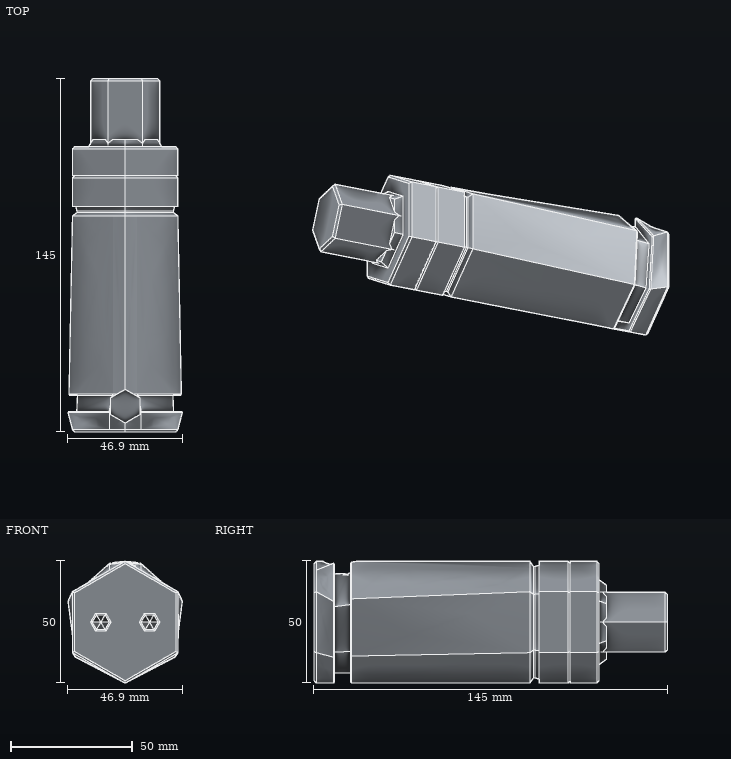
import cadquery as cq
import math

length = 145.0
body_radius = 25.0

cap_back = 8.5
housing_front = 15.0
housing_shoulder = 88.6
nose_front = 90.7
ring_shoulder = 92.4
ring_back = 105.1
cover_back = 117.0
wiper_back = 120.0

end_chamfer = 1.0
joint_chamfer = 0.9
rim_chamfer = 0.5

groove_radius = 22.9
groove_cone_start = 90.0
nose_back_radius = 23.4

neck_radius = 20.9

pocket_y = 10.6
pocket_radius = 6.9
lens_top = 19.3
pocket_floor = 15.0

wiper_base_radius = 17.4
wiper_top_radius = 15.2
shaft_radius = 14.2

hole_pitch = 20.0
hole_radius = 3.5
hole_mouth_radius = 4.2
hole_depth = 10.0
hole_tip_depth = 2.0
hole_tip_radius = 0.1

CORNERS = 6
CORNER_STEP = 360.0 / CORNERS
UP = 90.0


def corner(radius, angle, y):
    """Point at a polar angle, in degrees from +X towards +Z, on the plane at y."""
    turn = math.radians(angle)
    return cq.Vector(radius * math.cos(turn), y, radius * math.sin(turn))


def hexagon(radius, y, first_angle=UP, center_x=0.0):
    """Regular hexagon on the plane at y; by default one corner points up."""
    shift = cq.Vector(center_x, 0, 0)
    points = [corner(radius, first_angle + CORNER_STEP * i, y) + shift for i in range(CORNERS)]
    return cq.Wire.makePolygon(points, close=True)


def loft(*sections):
    """Solid with straight sides through the sections in order."""
    return cq.Workplane(obj=cq.Solid.makeLoft(list(sections), True))


def stack(*stations):
    """Coaxial hexagonal solid through (y, corner radius) stations."""
    return loft(*[hexagon(radius, y) for y, radius in stations])


def pocket_half_width(y):
    """Half of the chord that the pocket's corner circle cuts at y."""
    return math.sqrt(pocket_radius**2 - (y - pocket_y) ** 2)


def notched_points(radius, y):
    """Corners of a section that spreads its sides evenly around the pocket's chord."""
    spread = math.degrees(math.asin(pocket_half_width(y) / radius))
    step = (360.0 - 2 * spread) / CORNERS
    return [corner(radius, UP + spread + step * i, y) for i in range(CORNERS + 1)]


def notched_section(radius, y):
    return cq.Wire.makePolygon(notched_points(radius, y), close=True)


def ridged_section(radius, y):
    """Notched section with the top ridge of the hexagon kept between its two upper corners."""
    return cq.Wire.makePolygon([corner(radius, UP, y)] + notched_points(radius, y), close=True)


def split_hexagon(radius, y, half_width):
    """Hexagon whose two upper sides are split at x = +-half_width, to pair with a ridged section."""
    slope = math.tan(math.radians(CORNER_STEP / 2))
    split_z = radius - half_width * slope
    sides = [corner(radius, UP + CORNER_STEP * i, y) for i in range(1, CORNERS)]
    left = cq.Vector(-half_width, y, split_z)
    right = cq.Vector(half_width, y, split_z)
    return cq.Wire.makePolygon([corner(radius, UP, y), left] + sides + [right], close=True)


def pocket_prism(bottom, top):
    """Upright hexagonal prism of the window pocket, with corners along Y."""
    return (
        cq.Workplane("XY", origin=(0, pocket_y, bottom))
        .polygon(CORNERS, 2 * pocket_radius)
        .extrude(top - bottom)
        .rotate((0, pocket_y, 0), (0, pocket_y, 1), UP)
    )


def blind_hole(center_x):
    """Countersunk hexagonal hole with a tapered tip; corners point along X."""
    mouth_depth = hole_mouth_radius - hole_radius
    stations = (
        (0.0, hole_mouth_radius),
        (mouth_depth, hole_radius),
        (hole_depth, hole_radius),
        (hole_depth + hole_tip_depth, hole_tip_radius),
    )
    return loft(*[hexagon(radius, y, 0.0, center_x) for y, radius in stations])


window_cut = pocket_prism(pocket_floor, body_radius)


def make_end_cap():
    rim = cap_back - rim_chamfer
    face = stack((0.0, body_radius - end_chamfer), (end_chamfer, body_radius))
    flank = loft(
        split_hexagon(body_radius, end_chamfer, pocket_half_width(rim)),
        ridged_section(body_radius, rim),
    )
    back_edge = loft(
        ridged_section(body_radius, rim),
        ridged_section(body_radius - rim_chamfer, cap_back),
    )
    neck = loft(
        notched_section(neck_radius, cap_back),
        notched_section(neck_radius, housing_front),
    )
    cap = face.union(flank).union(back_edge).union(neck).cut(window_cut)
    for center_x in (-hole_pitch / 2, hole_pitch / 2):
        cap = cap.cut(blind_hole(center_x))
    return cap


def make_housing():
    rim = housing_front + rim_chamfer
    front_edge = loft(
        ridged_section(body_radius - rim_chamfer, housing_front),
        ridged_section(body_radius, rim),
    )
    barrel = loft(
        ridged_section(body_radius, rim),
        split_hexagon(body_radius, housing_shoulder, pocket_half_width(rim)),
    )
    spigot = stack(
        (housing_shoulder, body_radius),
        (groove_cone_start, groove_radius),
        (nose_front, groove_radius),
    )
    return front_edge.union(barrel).union(spigot).cut(window_cut)


def make_lens():
    return pocket_prism(pocket_floor, lens_top)


def make_middle_ring():
    nose = stack((nose_front, groove_radius), (ring_shoulder, nose_back_radius))
    ring = stack(
        (ring_shoulder, body_radius),
        (ring_back - joint_chamfer, body_radius),
        (ring_back, body_radius - joint_chamfer),
    )
    return nose.union(ring)


def make_rear_cover():
    return stack(
        (ring_back, body_radius),
        (cover_back - end_chamfer, body_radius),
        (cover_back, body_radius - end_chamfer),
    )


def make_shaft():
    stations = (
        (cover_back, shaft_radius),
        (length - end_chamfer, shaft_radius),
        (length, shaft_radius - end_chamfer),
    )
    return loft(*[hexagon(radius, y, 0.0) for y, radius in stations])


def make_wiper(shaft):
    return stack((cover_back, wiper_base_radius), (wiper_back, wiper_top_radius)).cut(shaft)


end_cap = make_end_cap()
housing = make_housing()
lens = make_lens()
middle_ring = make_middle_ring()
rear_cover = make_rear_cover()
shaft = make_shaft()
wiper = make_wiper(shaft)

bodies = [end_cap, housing, lens, middle_ring, rear_cover, shaft, wiper]
result = cq.Compound.makeCompound([solid for body in bodies for solid in body.solids().vals()])